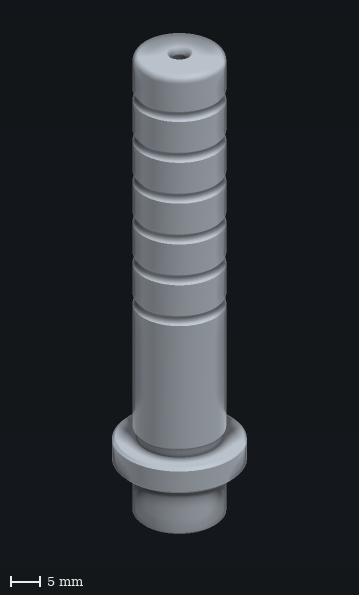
import cadquery as cq
import math

PIN_LENGTH = 90.0
PIN_RADIUS = 8.0
TOP_ROUND = 1.5
EDGE_CHAMFER = 0.5

LEAD_LENGTH = 3.0
LEAD_CLEARANCE = 0.02
LEAD_RADIUS = PIN_RADIUS - LEAD_CLEARANCE

COLLAR_RADIUS = 11.5
COLLAR_BOTTOM = 10.0
COLLAR_THICKNESS = 5.0
COLLAR_TOP = COLLAR_BOTTOM + COLLAR_THICKNESS
NECK_DEPTH = 0.5
NECK_RADIUS = PIN_RADIUS - NECK_DEPTH
LOWER_NECK_LENGTH = 1.0
LOWER_SHOULDER_ANGLE = 30.0
UPPER_NECK_LENGTH = 2.0

GROOVE_COUNT = 6
GROOVE_PITCH = 8.0
GROOVE_WIDTH = 2.0
GROOVE_DEPTH = 0.5
GROOVE_ARC_RADIUS = (GROOVE_WIDTH**2 / 4 + GROOVE_DEPTH**2) / (2 * GROOVE_DEPTH)
TOP_GROOVE_Z = PIN_LENGTH - GROOVE_PITCH

CENTRE_MOUTH_RADIUS = 2.25
CENTRE_DRILL_RADIUS = 1.25
COUNTERSINK_ANGLE = 90.0
DRILL_POINT_ANGLE = 120.0
CENTRE_DRILL_LENGTH = 3.0


def solid_pin():
    """Half section of the pin, from the bottom centre up, turned about Z."""
    lower_neck_bottom = COLLAR_BOTTOM - LOWER_NECK_LENGTH
    shoulder_drop = NECK_DEPTH * math.tan(math.radians(LOWER_SHOULDER_ANGLE))
    upper_neck_top = COLLAR_TOP + UPPER_NECK_LENGTH
    round_mid = TOP_ROUND * (1 - math.sqrt(0.5))
    return (
        cq.Workplane("XZ")
        .moveTo(0, 0)
        .lineTo(LEAD_RADIUS - EDGE_CHAMFER, 0)
        .lineTo(LEAD_RADIUS, EDGE_CHAMFER)
        .lineTo(LEAD_RADIUS, LEAD_LENGTH)
        .lineTo(PIN_RADIUS, LEAD_LENGTH)
        .lineTo(PIN_RADIUS, lower_neck_bottom - shoulder_drop)
        .lineTo(NECK_RADIUS, lower_neck_bottom)
        .lineTo(NECK_RADIUS, COLLAR_BOTTOM)
        .lineTo(COLLAR_RADIUS - EDGE_CHAMFER, COLLAR_BOTTOM)
        .lineTo(COLLAR_RADIUS, COLLAR_BOTTOM + EDGE_CHAMFER)
        .lineTo(COLLAR_RADIUS, COLLAR_TOP - EDGE_CHAMFER)
        .lineTo(COLLAR_RADIUS - EDGE_CHAMFER, COLLAR_TOP)
        .lineTo(NECK_RADIUS, COLLAR_TOP)
        .lineTo(NECK_RADIUS, upper_neck_top - NECK_DEPTH)
        .lineTo(PIN_RADIUS, upper_neck_top)
        .lineTo(PIN_RADIUS, PIN_LENGTH - TOP_ROUND)
        .threePointArc(
            (PIN_RADIUS - round_mid, PIN_LENGTH - round_mid),
            (PIN_RADIUS - TOP_ROUND, PIN_LENGTH),
        )
        .lineTo(0, PIN_LENGTH)
        .close()
        .revolve(360, (0, 0, 0), (0, 1, 0))
    )


def groove_cutter(z):
    """Ring of round section whose inner edge reaches the groove bottom."""
    ring_radius = PIN_RADIUS - GROOVE_DEPTH + GROOVE_ARC_RADIUS
    return (
        cq.Workplane("XZ")
        .center(ring_radius, z)
        .circle(GROOVE_ARC_RADIUS)
        .revolve(360, (-ring_radius, 0, 0), (-ring_radius, 1, 0))
    )


def centre_hole_cutter():
    """Countersunk centre hole with a conical drill point."""
    mouth_step = CENTRE_MOUTH_RADIUS - CENTRE_DRILL_RADIUS
    sink_depth = mouth_step / math.tan(math.radians(COUNTERSINK_ANGLE / 2))
    point_length = CENTRE_DRILL_RADIUS / math.tan(math.radians(DRILL_POINT_ANGLE / 2))
    drill_bottom = PIN_LENGTH - sink_depth - CENTRE_DRILL_LENGTH
    return (
        cq.Workplane("XZ")
        .moveTo(0, PIN_LENGTH)
        .lineTo(CENTRE_MOUTH_RADIUS, PIN_LENGTH)
        .lineTo(CENTRE_DRILL_RADIUS, PIN_LENGTH - sink_depth)
        .lineTo(CENTRE_DRILL_RADIUS, drill_bottom)
        .lineTo(0, drill_bottom - point_length)
        .close()
        .revolve(360, (0, 0, 0), (0, 1, 0))
    )


result = solid_pin()
for index in range(GROOVE_COUNT):
    result = result.cut(groove_cutter(TOP_GROOVE_Z - index * GROOVE_PITCH))
result = result.cut(centre_hole_cutter())